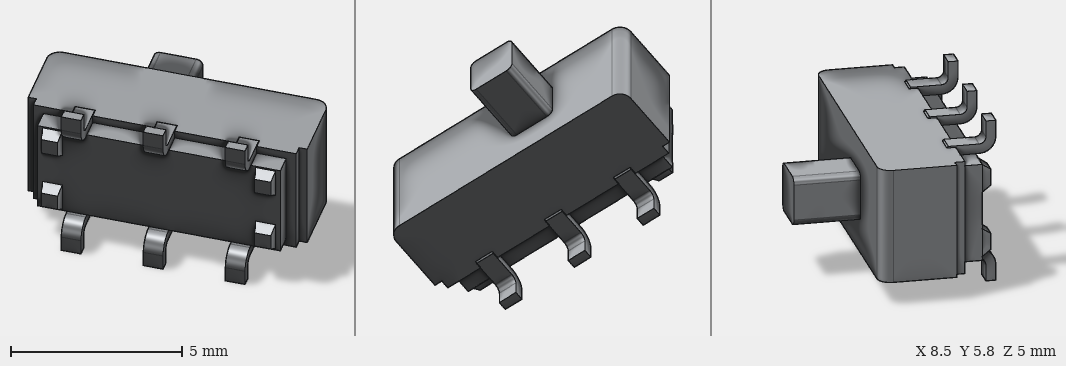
import cadquery as cq
import math


cover_length = 8.5
cover_height = 3.5
cover_wall = 0.25
cover_depth = 2.3
cover_radius = 0.4

body_length = cover_length - 2 * cover_wall
body_depth = 2.6

base_length = 7.395
base_height = 3.0
base_depth = 3.2

lever_size = 1.5
lever_reach = 2.0
lever_center_x = -0.95
lever_radius = 0.2

peg_width = 0.6
peg_height = 0.9
peg_tip_width = 0.49
peg_tip_height = 0.5
peg_length = 0.3
peg_offset_x = 3.25
peg_offset_z = 1.0

lead_width = 0.6
lead_thickness = 0.3
lead_inner_radius = 0.2
lead_outer_radius = lead_inner_radius + lead_thickness
lead_pitch = 2.5
lead_end_y = -3.8
lead_start_y = -cover_depth
lead_tip_z = 2.5
lead_chamfer = 0.08


def block(length, height, back_y, front_y):
    """Box centred on X and Z that spans Y from back_y up to front_y."""
    center_y = (back_y + front_y) / 2
    return cq.Workplane("XY").box(length, front_y - back_y, height).translate((0, center_y, 0))


def make_cover():
    cover = block(cover_length, cover_height, -cover_depth, 0)
    return cover.edges("|Z and >Y").fillet(cover_radius)


def make_body():
    return block(body_length, cover_height, -body_depth, -cover_wall)


def make_base():
    return block(base_length, base_height, -base_depth, -body_depth)


def make_lever():
    lever = block(lever_size, lever_size, -cover_wall, lever_reach)
    return lever.edges("|Y").fillet(lever_radius).translate((lever_center_x, 0, 0))


def make_peg(x, z):
    return (
        cq.Workplane("XZ", origin=(x, -base_depth, z))
        .rect(peg_width, peg_height)
        .workplane(offset=peg_length)
        .rect(peg_tip_width, peg_tip_height)
        .loft()
    )


def make_upper_lead(x):
    inner_z = base_height / 2
    outer_z = inner_z + lead_thickness
    foot_y = lead_end_y + lead_thickness
    bend_y = lead_end_y + lead_outer_radius
    bend_z = inner_z + lead_outer_radius
    diagonal = math.sqrt(0.5)
    outer_mid = (bend_y - lead_outer_radius * diagonal, bend_z - lead_outer_radius * diagonal)
    inner_mid = (bend_y - lead_inner_radius * diagonal, bend_z - lead_inner_radius * diagonal)
    return (
        cq.Workplane("YZ", origin=(x, 0, 0))
        .moveTo(lead_start_y, inner_z)
        .lineTo(bend_y, inner_z)
        .threePointArc(outer_mid, (lead_end_y, bend_z))
        .lineTo(lead_end_y, lead_tip_z)
        .lineTo(foot_y, lead_tip_z)
        .lineTo(foot_y, bend_z)
        .threePointArc(inner_mid, (bend_y, outer_z))
        .lineTo(lead_start_y - lead_chamfer, outer_z)
        .lineTo(lead_start_y, outer_z - lead_chamfer)
        .close()
        .extrude(lead_width / 2, both=True)
    )


result = make_cover().union(make_body()).union(make_base()).union(make_lever())

for side_x in (-1, 1):
    for side_z in (-1, 1):
        result = result.union(make_peg(side_x * peg_offset_x, side_z * peg_offset_z))

for position in (-1, 0, 1):
    upper_lead = make_upper_lead(position * lead_pitch)
    result = result.union(upper_lead).union(upper_lead.mirror("XY"))